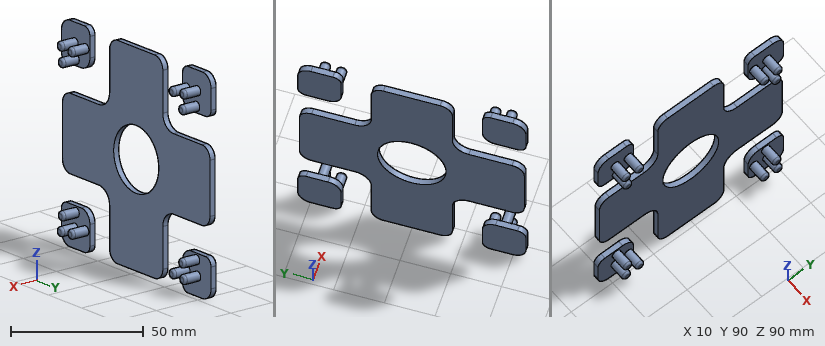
import cadquery as cq

OUTER_SIZE = 90.0
TOTAL_DEPTH = 10.0
PLATE_THICKNESS = 2.5

CROSS_SPAN = 88.7
ARM_WIDTH = 32.0
ARM_TIP_RADIUS = 4.9
ARM_ROOT_RADIUS = 6.5
CENTRE_HOLE_DIAMETER = 27.0

CAP_SIZE = 17.2
CAP_MAIN_RADIUS = 5.2
CAP_SIDE_RADIUS = 3.3
CAP_CENTRE = (OUTER_SIZE - CAP_SIZE) / 2

PIN_DIAMETER = 4.0
PIN_TIP_RADIUS = 1.0
PIN_LENGTH = TOTAL_DEPTH - PLATE_THICKNESS
CORNER_PIN = 36.8
SIDE_PIN_OUTER = 36.2
SIDE_PIN_INNER = 30.4
PIN_PLACES = [
    (CORNER_PIN, CORNER_PIN),
    (SIDE_PIN_OUTER, SIDE_PIN_INNER),
    (SIDE_PIN_INNER, SIDE_PIN_OUTER),
]


def make_cross_plate():
    """Flat cross with rounded arms and a round hole through its centre."""
    across_y = cq.Workplane("YZ").rect(CROSS_SPAN, ARM_WIDTH).extrude(PLATE_THICKNESS)
    across_z = cq.Workplane("YZ").rect(ARM_WIDTH, CROSS_SPAN).extrude(PLATE_THICKNESS)
    across_y = across_y.edges("|X").fillet(ARM_TIP_RADIUS)
    across_z = across_z.edges("|X").fillet(ARM_TIP_RADIUS)
    root_corners = cq.selectors.BoxSelector(
        (-PLATE_THICKNESS, -ARM_WIDTH, -ARM_WIDTH),
        (2 * PLATE_THICKNESS, ARM_WIDTH, ARM_WIDTH),
    )
    cross = across_y.union(across_z).edges("|X").edges(root_corners).fillet(ARM_ROOT_RADIUS)
    return cross.faces("<X").workplane(origin=(0, 0, 0)).hole(CENTRE_HOLE_DIAMETER)


def make_pin(y, z):
    """Round pin along X with a rounded tip, standing on the back of a cap."""
    pin = (
        cq.Workplane("YZ", origin=(PLATE_THICKNESS, y, z))
        .circle(PIN_DIAMETER / 2)
        .extrude(PIN_LENGTH)
    )
    return pin.faces(">X").edges().fillet(PIN_TIP_RADIUS)


def make_cap(y_side, z_side):
    """Rounded square cap with three pins, in the corner given by the signs of Y and Z."""
    cap = (
        cq.Workplane("YZ")
        .center(CAP_CENTRE, CAP_CENTRE)
        .rect(CAP_SIZE, CAP_SIZE)
        .extrude(PLATE_THICKNESS)
    )
    diagonal_corners = "|X and ((>Y and >Z) or (<Y and <Z))"
    side_corners = "|X and ((>Y and <Z) or (<Y and >Z))"
    cap = cap.edges(side_corners).fillet(CAP_SIDE_RADIUS)
    cap = cap.edges(diagonal_corners).fillet(CAP_MAIN_RADIUS)
    for y, z in PIN_PLACES:
        cap = cap.union(make_pin(y, z))
    if y_side < 0:
        cap = cap.mirror("XZ")
    if z_side < 0:
        cap = cap.mirror("XY")
    return cap


cross_plate = make_cross_plate()
caps = [make_cap(y_side, z_side) for y_side in (-1, 1) for z_side in (-1, 1)]

result = cq.Compound.makeCompound([cross_plate.val(), *[cap.val() for cap in caps]])